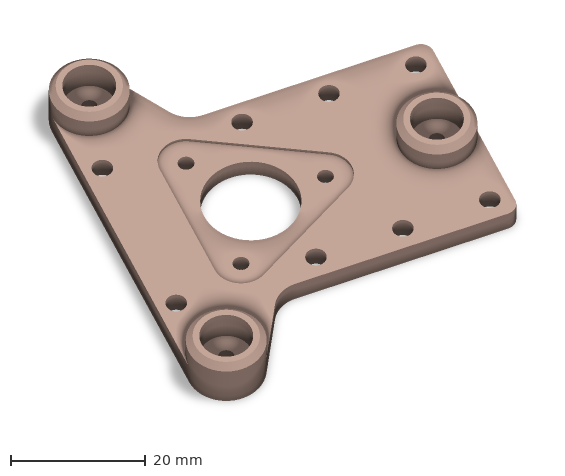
import cadquery as cq
import math

OVERALL_WIDTH = 63.95

PLATE_THICKNESS = 3.5
PLATE_HALF_WIDTH = 17.5
TOP_CORNER_RADIUS = 2.0
ARM_FILLET_RADIUS = 5.0
ARM_SLOPE = math.radians(30)
CUT_MARGIN = 0.65

BOSS_DIAMETER = 12.0
BOSS_HEIGHT = 7.9
BOSS_CHAMFER = 1.0
BOSS_CIRCLE_RADIUS = (OVERALL_WIDTH - BOSS_DIAMETER) / 2 / math.cos(math.radians(30))
BOSS_POCKET_DIAMETER = 8.0
SCREW_HOLE_DIAMETER = 2.5

BORE_DIAMETER = 15.0
RECESS_CIRCLE_RADIUS = 12.0
RECESS_CORNER_RADIUS = 4.2
RECESS_DEPTH = 0.5

FLOOR_HEIGHT = PLATE_THICKNESS - RECESS_DEPTH

MOUNT_HOLE_DIAMETER = 3.2
MOUNT_HALF_SPACING = 14.0
MOUNT_PITCH = MOUNT_HALF_SPACING
UPPER_MOUNT_ROWS = 3
FIRST_MOUNT_Y = 4.55
LOWER_MOUNT_Y = -18.0


def triangle_points(radius):
    """Corners of an equilateral triangle pointing towards +Y."""
    angles = [math.radians(a) for a in (90, 210, 330)]
    return [(radius * math.cos(a), radius * math.sin(a)) for a in angles]


def cylinders(points, diameter, bottom, top):
    """Upright cylinders centred on the given points."""
    return (
        cq.Workplane("XY", origin=(0, 0, bottom))
        .pushPoints(points)
        .circle(diameter / 2)
        .extrude(top - bottom)
    )


def make_plate():
    boss_radius = BOSS_DIAMETER / 2
    top_boss, left_boss, right_boss = triangle_points(BOSS_CIRCLE_RADIUS)
    top_y = top_boss[1] + boss_radius
    bottom_y = left_boss[1] - boss_radius

    tangent_x = right_boss[0] + boss_radius * math.sin(ARM_SLOPE)
    tangent_y = right_boss[1] + boss_radius * math.cos(ARM_SLOPE)
    shoulder_y = tangent_y + (tangent_x - PLATE_HALF_WIDTH) * math.tan(ARM_SLOPE)

    bottom_angle = -math.pi / 2
    tangent_angle = math.pi / 2 - ARM_SLOPE
    wall_angle = (bottom_angle + tangent_angle) / 2
    wall_x = right_boss[0] + boss_radius * math.cos(wall_angle)
    wall_y = right_boss[1] + boss_radius * math.sin(wall_angle)
    plate = (
        cq.Workplane("XY")
        .moveTo(left_boss[0], bottom_y)
        .lineTo(right_boss[0], bottom_y)
        .threePointArc((wall_x, wall_y), (tangent_x, tangent_y))
        .lineTo(PLATE_HALF_WIDTH, shoulder_y)
        .lineTo(PLATE_HALF_WIDTH, top_y)
        .lineTo(-PLATE_HALF_WIDTH, top_y)
        .lineTo(-PLATE_HALF_WIDTH, shoulder_y)
        .lineTo(-tangent_x, tangent_y)
        .threePointArc((-wall_x, wall_y), (left_boss[0], bottom_y))
        .close()
        .extrude(PLATE_THICKNESS)
    )
    shoulders = cq.selectors.BoxSelector(
        (-PLATE_HALF_WIDTH - CUT_MARGIN, shoulder_y - CUT_MARGIN, 0),
        (PLATE_HALF_WIDTH + CUT_MARGIN, shoulder_y + CUT_MARGIN, PLATE_THICKNESS),
    )
    plate = plate.edges("|Z").edges(shoulders).fillet(ARM_FILLET_RADIUS)
    return plate.edges("|Z and >Y").fillet(TOP_CORNER_RADIUS)


def make_bosses():
    bosses = cylinders(triangle_points(BOSS_CIRCLE_RADIUS), BOSS_DIAMETER, 0, BOSS_HEIGHT)
    return bosses.faces(">Z").edges().chamfer(BOSS_CHAMFER)


def make_recess():
    return (
        cq.Workplane("XY", origin=(0, 0, FLOOR_HEIGHT))
        .polyline(triangle_points(RECESS_CIRCLE_RADIUS))
        .close()
        .offset2D(RECESS_CORNER_RADIUS)
        .extrude(RECESS_DEPTH + CUT_MARGIN)
    )


boss_points = triangle_points(BOSS_CIRCLE_RADIUS)
screw_points = boss_points + triangle_points(RECESS_CIRCLE_RADIUS)
mount_rows = [LOWER_MOUNT_Y] + [FIRST_MOUNT_Y + row * MOUNT_PITCH for row in range(UPPER_MOUNT_ROWS)]
mount_points = [(side * MOUNT_HALF_SPACING, y) for side in (-1, 1) for y in mount_rows]
cut_top = BOSS_HEIGHT + CUT_MARGIN

result = make_plate().union(make_bosses()).cut(make_recess())
result = result.cut(cylinders(boss_points, BOSS_POCKET_DIAMETER, FLOOR_HEIGHT, cut_top))
result = result.cut(cylinders(screw_points, SCREW_HOLE_DIAMETER, -CUT_MARGIN, cut_top))
result = result.cut(cylinders(mount_points, MOUNT_HOLE_DIAMETER, -CUT_MARGIN, cut_top))
result = result.cut(cylinders([(0, 0)], BORE_DIAMETER, -CUT_MARGIN, cut_top))